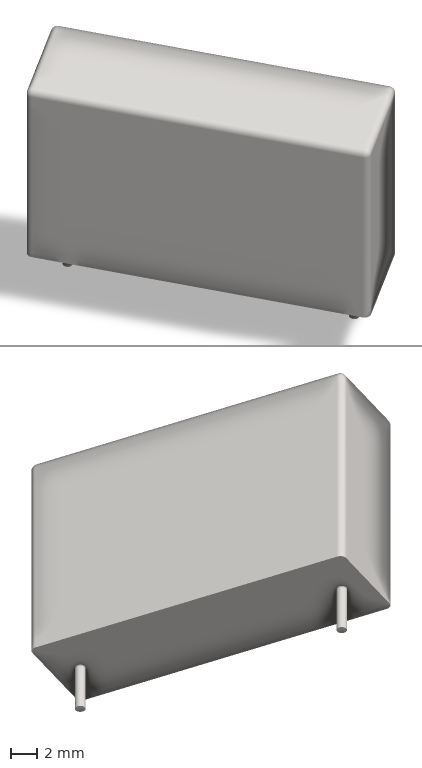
import cadquery as cq

housing_length = 27.0
housing_width = 8.0
housing_height = 17.0
edge_radius = 0.5

lead_diameter = 0.8
lead_length = 3.78
lead_pitch = 22.5


def make_housing():
    """Box with rounded upright and top edges and a sharp bottom rim."""
    box = cq.Workplane("XY").box(
        housing_length, housing_width, housing_height, centered=(True, True, False)
    )
    return box.edges("|Z or >Z").fillet(edge_radius)


def make_lead(x):
    """Round lead hanging from the housing's bottom face at the given X."""
    return cq.Workplane("XY").center(x, 0).circle(lead_diameter / 2).extrude(-lead_length)


housing = make_housing()
leads = [make_lead(side * lead_pitch / 2) for side in (-1, 1)]

result = cq.Compound.makeCompound([housing.val(), *[lead.val() for lead in leads]])